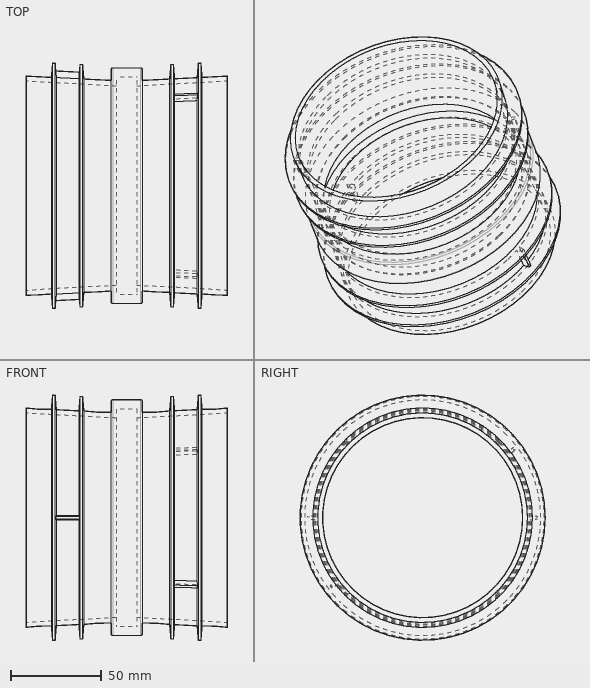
import cadquery as cq

length = 111.3
half_length = length / 2

wall_outer_diameter_end = 121.5
wall_outer_diameter_band = 116.8
bore_diameter_end = 116.0
bore_diameter_groove = 110.5

band_diameter = 130.6
band_width = 17.2
band_fillet = 1.0
groove_diameter = 120.6
groove_width = 11.4

outer_flange_position = 40.3
outer_flange_diameter = 135.8
inner_flange_position = 25.1
inner_flange_diameter = 134.4
flange_root_width = 2.9
flange_tip_width = 1.5

rib_height = 3.7
rib_root_width = 2.5
rib_tip_width = 1.5
right_rib_angle = 37.0


def wall_radius(x):
    """Outer radius of the conical wall at distance x from the middle plane."""
    band_edge = band_width / 2
    slope = (wall_outer_diameter_end - wall_outer_diameter_band) / 2 / (half_length - band_edge)
    return wall_outer_diameter_band / 2 + slope * (x - band_edge)


def revolve_about_x(points):
    """Revolve an outline of (x, radius) points a full turn about the X axis."""
    return cq.Workplane("XY").polyline(points).close().revolve(360, (0, 0, 0), (1, 0, 0))


def make_wall():
    """Solid +X half of the outer wall."""
    return revolve_about_x([
        (0, 0),
        (0, wall_radius(0)),
        (half_length, wall_radius(half_length)),
        (half_length, 0),
    ])


def make_flange(position, diameter):
    """Solid disc that is thinner at its rim than at the wall."""
    root_radius = wall_radius(position)
    root_half = flange_root_width / 2
    tip_half = flange_tip_width / 2
    return revolve_about_x([
        (position - root_half, 0),
        (position - root_half, root_radius),
        (position - tip_half, diameter / 2),
        (position + tip_half, diameter / 2),
        (position + root_half, root_radius),
        (position + root_half, 0),
    ])


def make_rib_pair():
    """Two opposite ribs on the +Y and -Y sides of the +X half, following the slope of the wall."""
    start = inner_flange_position
    end = outer_flange_position
    taper = (rib_root_width - rib_tip_width) / 2 / rib_height

    def section(x):
        tip_radius = wall_radius(x) + rib_height
        tip_half = rib_tip_width / 2
        axis_half = tip_half + taper * tip_radius
        return [(0, -axis_half), (tip_radius, -tip_half), (tip_radius, tip_half), (0, axis_half)]

    rib = (
        cq.Workplane("YZ", origin=(start, 0, 0)).polyline(section(start)).close()
        .workplane(offset=end - start).polyline(section(end)).close()
        .loft(ruled=True)
    )
    return rib.union(rib.rotate((0, 0, 0), (1, 0, 0), 180))


def make_bore():
    """Conical bore of the +X half together with its half of the middle groove."""
    groove_edge = groove_width / 2
    return revolve_about_x([
        (0, 0),
        (0, groove_diameter / 2),
        (groove_edge, groove_diameter / 2),
        (groove_edge, bore_diameter_groove / 2),
        (half_length, bore_diameter_end / 2),
        (half_length, 0),
    ])


half_body = (
    make_wall()
    .union(make_flange(outer_flange_position, outer_flange_diameter))
    .union(make_flange(inner_flange_position, inner_flange_diameter))
)
ribs = make_rib_pair()
right_half = half_body.union(ribs.rotate((0, 0, 0), (1, 0, 0), right_rib_angle))
left_half = half_body.union(ribs).mirror("YZ")

band = (
    cq.Workplane("YZ", origin=(-band_width / 2, 0, 0))
    .circle(band_diameter / 2)
    .extrude(band_width)
    .edges()
    .fillet(band_fillet)
)

bore = make_bore()
result = right_half.union(left_half).union(band).cut(bore).cut(bore.mirror("YZ"))